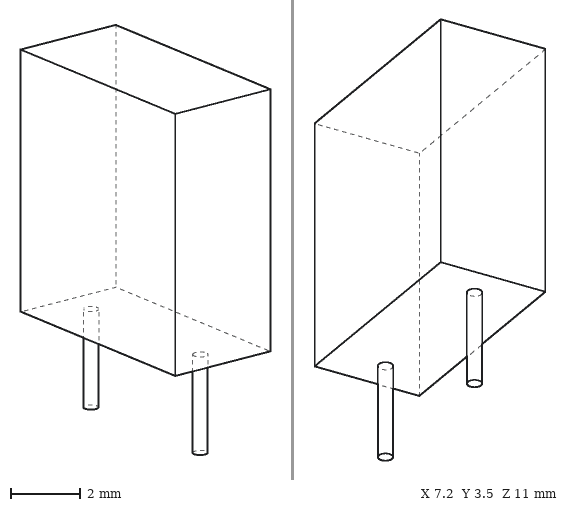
import cadquery as cq

total_height = 11.0
housing_width = 7.2
housing_depth = 3.5

pin_diameter = 0.44
pin_length = 3.0
pin_spacing = 5.08

housing_height = total_height - pin_length


def make_housing():
    """Plain block standing on the Z = 0 plane, centred on X and Y."""
    return cq.Workplane("XY").box(
        housing_width, housing_depth, housing_height, centered=(True, True, False)
    )


def make_pin(x):
    """Round pin hanging from the underside of the housing at the given X."""
    return cq.Workplane("XY").center(x, 0).circle(pin_diameter / 2).extrude(-pin_length)


housing = make_housing()
pins = [make_pin(side * pin_spacing / 2) for side in (-1, 1)]

result = cq.Compound.makeCompound([housing.val(), *[pin.val() for pin in pins]])